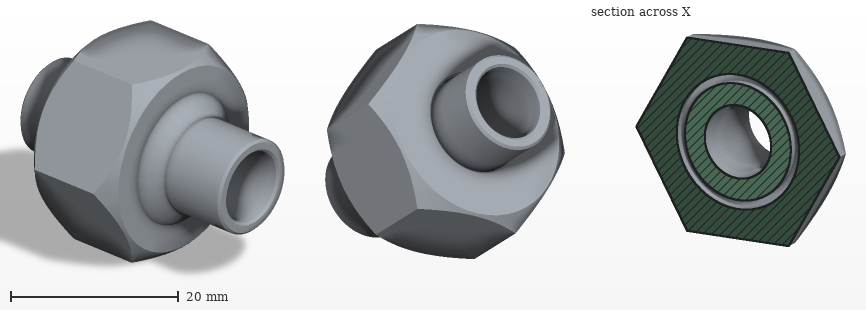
import cadquery as cq
import math

LENGTH = 32.0
PIPE_DIAMETER = 12.0
BORE_DIAMETER = 9.0
EDGE_CHAMFER = 0.305

NUT_START = 7.5
NUT_LENGTH = 13.5
NUT_END = NUT_START + NUT_LENGTH
NUT_ACROSS_FLATS = 24.0
NUT_ACROSS_CORNERS = NUT_ACROSS_FLATS / math.cos(math.pi / 6)
NUT_FACE_DIAMETER = 23.45
NUT_CORNER_CHAMFER = (NUT_ACROSS_CORNERS - NUT_FACE_DIAMETER) / 2
NUT_WALL = 2.5
NUT_HOLE_DIAMETER = 12.3

THREAD_DIAMETER = 16.6
FLANGE_DIAMETER = 14.5
FLANGE_THICKNESS = 2.5
FLANGE_START = NUT_START + NUT_WALL
JOINT_X = FLANGE_START + FLANGE_THICKNESS

CONE_LENGTH = (THREAD_DIAMETER - PIPE_DIAMETER) / 2


def cylinder(start, end, diameter):
    """Solid cylinder along the X axis between two positions."""
    return cq.Workplane("YZ", origin=(start, 0, 0)).circle(diameter / 2).extrude(end - start)


def make_tailpiece():
    """Pipe with both rims of its free end chamfered and a flange at the joint."""
    pipe = cylinder(0, JOINT_X, PIPE_DIAMETER).cut(cylinder(0, JOINT_X, BORE_DIAMETER))
    pipe = pipe.faces("<X").chamfer(EDGE_CHAMFER)
    flange = cylinder(FLANGE_START, JOINT_X, FLANGE_DIAMETER)
    flange = flange.cut(cylinder(FLANGE_START, JOINT_X, BORE_DIAMETER))
    return pipe.union(flange)


def make_threaded_body():
    """Plain threaded cylinder that narrows through a cone to a pipe with a chamfered end."""
    thread = cylinder(JOINT_X, NUT_END + CONE_LENGTH, THREAD_DIAMETER)
    thread = thread.faces(">X").chamfer(CONE_LENGTH)
    pipe = cylinder(JOINT_X, LENGTH, PIPE_DIAMETER)
    body = thread.union(pipe).cut(cylinder(JOINT_X, LENGTH, BORE_DIAMETER))
    return body.faces(">X").chamfer(EDGE_CHAMFER)


def make_nut():
    """Hexagon with conical corner chamfers, a chamfered pipe hole and a wider threaded bore."""
    nut = (
        cq.Workplane("YZ", origin=(NUT_START, 0, 0))
        .polygon(6, NUT_ACROSS_CORNERS)
        .extrude(NUT_LENGTH)
    )
    corner_cones = cylinder(NUT_START, NUT_END, NUT_ACROSS_CORNERS)
    corner_cones = corner_cones.faces("<X or >X").chamfer(NUT_CORNER_CHAMFER)
    nut = nut.intersect(corner_cones)
    nut = nut.cut(cylinder(NUT_START, NUT_END, NUT_HOLE_DIAMETER))
    nut = nut.cut(cylinder(FLANGE_START, NUT_END, THREAD_DIAMETER))
    return nut.faces("<X").edges(cq.selectors.RadiusNthSelector(0)).chamfer(EDGE_CHAMFER)


tailpiece = make_tailpiece()
threaded_body = make_threaded_body()
nut = make_nut()

result = cq.Compound.makeCompound([tailpiece.val(), threaded_body.val(), nut.val()])